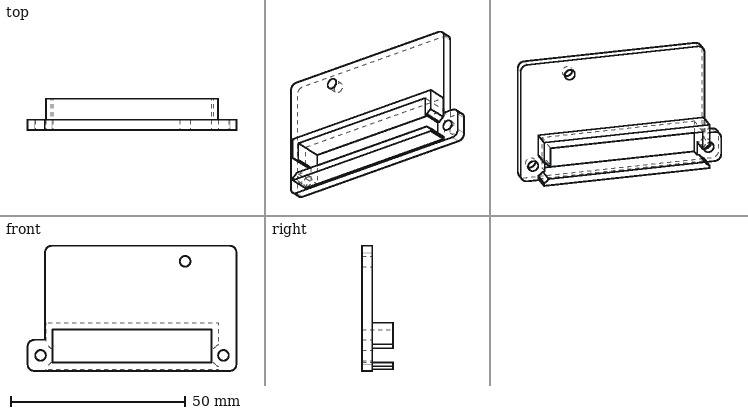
import cadquery as cq

plate_width = 60.0
plate_height = 36.0
plate_thickness = 3.0
corner_radius = 2.0
tab_width = 5.0
tab_height = 9.0

hole_diameter = 3.0
hole_height = tab_height / 2
left_hole_x = 3.75
right_hole_x = plate_width - left_hole_x
upper_hole_x = 45.25
upper_hole_z = 31.5

window_left = 7.25
window_bottom = 2.5
window_width = plate_width - 2 * window_left
window_height = 9.4
frame_wall = 2.0
frame_depth = 6.0

screw_clearance_diameter = 7.0
end_slot_height = 4.0


def box(left, bottom, width, height, front, depth):
    """Block given by its lower left corner in XZ and its span along Y."""
    return cq.Workplane("XY").box(width, depth, height, centered=False).translate((left, front, bottom))


def cylinder(x, z, diameter, front, depth):
    """Cylinder along +Y, starting at Y = front."""
    axis_start = cq.Vector(x, front, z)
    return cq.Workplane(cq.Solid.makeCylinder(diameter / 2, depth, axis_start, cq.Vector(0, 1, 0)))


def make_plate():
    """Plate with a tab at the lower left and rounded outer corners."""
    main_width = plate_width - tab_width
    main = box(tab_width, 0, main_width, plate_height, 0, plate_thickness)
    main = main.edges("|Y").edges(">X or >Z").fillet(corner_radius)
    tab = box(0, 0, tab_width + corner_radius, tab_height, 0, plate_thickness)
    tab = tab.edges("|Y and <X").fillet(corner_radius)
    return main.union(tab)


def make_frame():
    """Solid block behind the window, cleared around the two lower screws."""
    frame_width = window_width + 2 * frame_wall
    frame_height = window_height + 2 * frame_wall
    frame = box(
        window_left - frame_wall,
        window_bottom - frame_wall,
        frame_width,
        frame_height,
        plate_thickness,
        frame_depth,
    )
    for x in (left_hole_x, right_hole_x):
        frame = frame.cut(cylinder(x, hole_height, screw_clearance_diameter, plate_thickness, frame_depth))
    end_slot = box(
        window_left - frame_wall,
        hole_height - end_slot_height / 2,
        frame_width,
        end_slot_height,
        plate_thickness,
        frame_depth,
    )
    return frame.cut(end_slot)


def cut_window(body):
    """Open the window through the plate and the frame."""
    total_depth = plate_thickness + frame_depth
    return body.cut(box(window_left, window_bottom, window_width, window_height, 0, total_depth))


def drill_holes(body):
    """Three screw holes through the plate."""
    hole_places = (
        (left_hole_x, hole_height),
        (right_hole_x, hole_height),
        (upper_hole_x, upper_hole_z),
    )
    for x, z in hole_places:
        body = body.cut(cylinder(x, z, hole_diameter, 0, plate_thickness))
    return body


result = drill_holes(cut_window(make_plate().union(make_frame())))